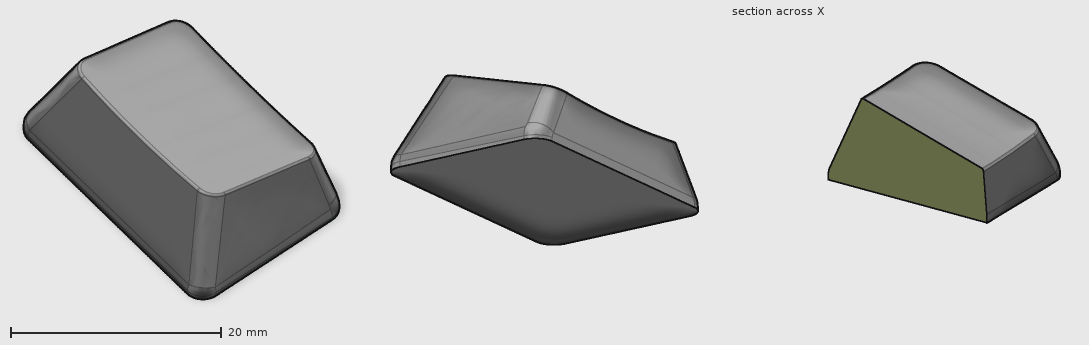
import cadquery as cq
import math

length = 27.7
width = 18.16
skirt_height = 0.95
wall_fillet = 1.95

top_length = 20.88
top_front_y = -4.98
top_back_y = 8.65
top_front_z = 9.95
top_tilt = 16.0
top_edge_fillet = 0.28

dish_depth = 0.5
dish_margin = 0.08

tilt = math.radians(top_tilt)
top_depth = (top_back_y - top_front_y) / math.cos(tilt)
top_center_y = (top_front_y + top_back_y) / 2
top_center_z = top_front_z - top_depth / 2 * math.sin(tilt)
foot_plane = cq.Plane(origin=(0, 0, skirt_height))
top_plane = cq.Plane(
    origin=(0, top_center_y, top_center_z + dish_margin),
    xDir=(1, 0, 0),
    normal=(0, math.sin(tilt), math.cos(tilt)),
)


def rectangle_wire(plane, size_x, size_y):
    """Closed rectangle centred on the plane."""
    return cq.Workplane(plane).rect(size_x, size_y).val()


def make_blank():
    """Sharp-edged cap: a straight skirt under ruled walls that rise to the tilted top."""
    skirt = cq.Workplane().rect(length, width).extrude(skirt_height)
    foot_wire = rectangle_wire(foot_plane, length, width)
    top_wire = rectangle_wire(top_plane, top_length, top_depth)
    return skirt.union(cq.Workplane(cq.Solid.makeLoft([foot_wire, top_wire], True)))


def is_wall_edge(edge):
    """True for every edge that is neither around the underside nor around the top."""
    on_underside = edge.BoundingBox().zmax < skirt_height / 2
    center_above_top = top_plane.toLocalCoords(edge.Center()).z
    on_top = abs(center_above_top) < dish_margin
    return not (on_underside or on_top)


def make_dish():
    """Long cylinder lying along the slope of the top."""
    half_length = top_length / 2
    radius = (half_length**2 + dish_depth**2) / (2 * dish_depth)
    axis_height = radius - dish_depth - dish_margin
    profile_plane = cq.Plane(
        origin=top_plane.toWorldCoords((0, 0, axis_height)),
        xDir=(1, 0, 0),
        normal=top_plane.yDir,
    )
    return cq.Workplane(profile_plane).circle(radius).extrude(top_depth, both=True)


blank = make_blank()
wall_edges = [edge for edge in blank.edges().vals() if is_wall_edge(edge)]
rounded = blank.newObject(wall_edges).fillet(wall_fillet)

dished = rounded.cut(make_dish())
dish_bottom = top_plane.toWorldCoords((0, 0, -dish_depth - dish_margin))
dish_face = cq.selectors.NearestToPointSelector(dish_bottom.toTuple())
result = dished.faces(dish_face).edges().fillet(top_edge_fillet)